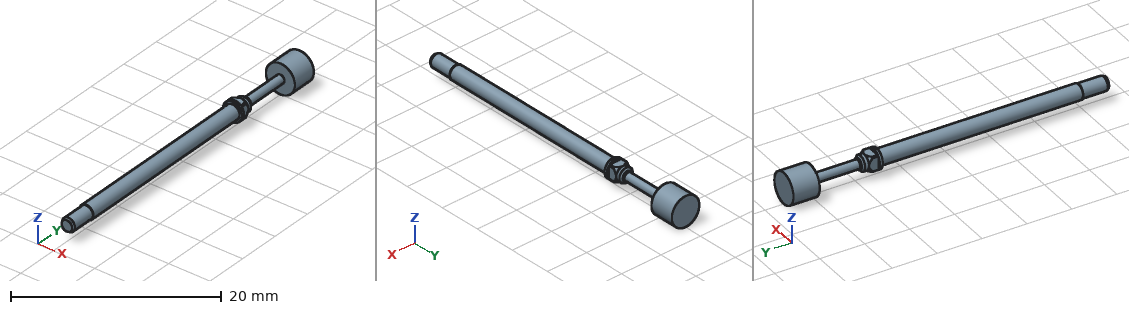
import cadquery as cq

total_length = 35.8

head_radius = 1.75
stem_radius = 0.5
neck_radius = 0.6
body_radius = 0.85
flange_radius = 1.15
tip_radius = 0.8
tip_chamfer_depth = 0.15
tip_chamfer_length = 0.25

head_length = 2.95
stem_length = 5.25
neck_length = 0.1
cone_length = 0.2
collar_length = 0.43
square_length = 1.05
flange_thickness = 0.32
tip_length = 3.0

square_side = 2 * body_radius
corner_cone_length = 0.4

head_start = total_length - head_length
stem_start = head_start - stem_length
neck_start = stem_start - neck_length
cone_start = neck_start - cone_length
collar_start = cone_start - collar_length
square_start = collar_start - square_length
flange_start = square_start - flange_thickness


def revolve_about_y(points):
    """Solid of revolution from a (radius, y) outline closed along the Y axis."""
    return cq.Workplane("XY").polyline(points).close().revolve(360, (0, 0, 0), (0, 1, 0))


def make_barrel():
    """Body from the chamfered tip up to the flange."""
    return revolve_about_y([
        (0, 0),
        (tip_radius - tip_chamfer_depth, 0),
        (tip_radius, tip_chamfer_length),
        (tip_radius, tip_length),
        (body_radius, tip_length),
        (body_radius, flange_start),
        (flange_radius, flange_start),
        (flange_radius, square_start),
        (0, square_start),
    ])


def make_square():
    """Square section whose corners taper down to the collar radius."""
    blank = revolve_about_y([
        (0, square_start),
        (flange_radius, square_start),
        (flange_radius, collar_start - corner_cone_length),
        (body_radius, collar_start),
        (0, collar_start),
    ])
    prism = cq.Workplane("XY").box(square_side, square_length, square_side)
    return blank.intersect(prism.translate((0, square_start + square_length / 2, 0)))


def make_plunger():
    """Collar, cone, neck, thin stem and head."""
    return revolve_about_y([
        (0, collar_start),
        (body_radius, collar_start),
        (body_radius, cone_start),
        (neck_radius, neck_start),
        (neck_radius, stem_start),
        (stem_radius, stem_start),
        (stem_radius, head_start),
        (head_radius, head_start),
        (head_radius, total_length),
        (0, total_length),
    ])


result = make_barrel().union(make_square()).union(make_plunger())